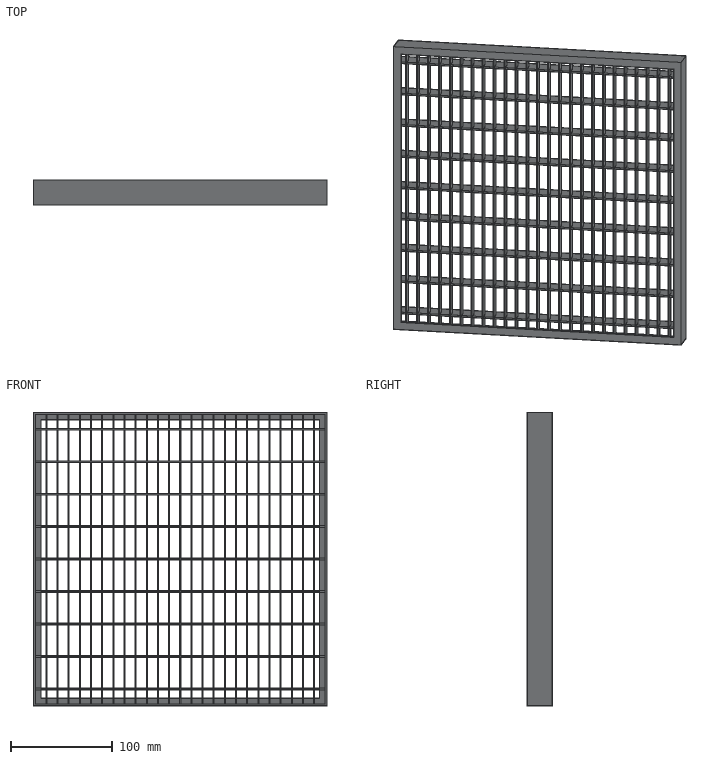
import cadquery as cq

frame_size = 290.0
frame_depth = 25.0
sheet = 2.0
lip_width = 7.5

louvre_count = 9
louvre_span = 256.6
louvre_pitch = louvre_span / (louvre_count - 1)
louvre_thickness = 1.7
louvre_front = 2.5

upright_count = 25
upright_pitch = 11.0
upright_thickness = 1.02
upright_front = 15.0

inner_size = frame_size - 2 * sheet
window_size = frame_size - 2 * lip_width
lip_front = frame_depth - sheet


def block(width, height, front, back, x=0.0, z=0.0):
    """Box centred at (x, z), reaching in Y from front to back."""
    box = cq.Workplane("XY").box(width, back - front, height)
    return box.translate((x, (front + back) / 2, z))


def centred_positions(count, pitch):
    """Evenly spaced positions, symmetric about zero."""
    return [(i - (count - 1) / 2) * pitch for i in range(count)]


frame = block(frame_size, frame_size, 0, frame_depth)
frame = frame.cut(block(inner_size, inner_size, 0, lip_front))
frame = frame.cut(block(window_size, window_size, lip_front, frame_depth))

bar_length = inner_size + sheet
result = frame
for z in centred_positions(louvre_count, louvre_pitch):
    result = result.union(block(bar_length, louvre_thickness, louvre_front, lip_front, z=z))
for x in centred_positions(upright_count, upright_pitch):
    result = result.union(block(upright_thickness, bar_length, upright_front, frame_depth, x=x))